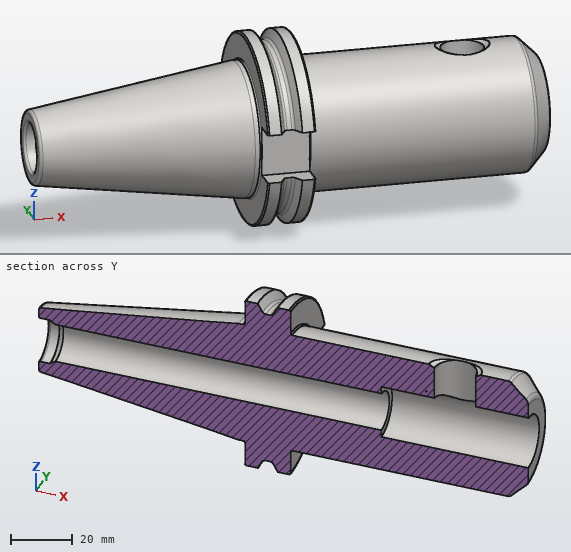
import cadquery as cq
import math

total_length = 169.8
gauge_x = 69.3
flange_start = 71.5
flange_end = 87.5

gauge_diameter = 44.8
shank_diameter = 44.5
flange_diameter = 63.4
groove_floor_diameter = 56.4

taper_ratio = 7 / 24
small_end_diameter = gauge_diameter - gauge_x * taper_ratio
small_end_fillet = 1.2
flange_chamfer = 0.5
neck_fillet = 0.5
shank_fillet = 0.5

groove_centre = 79.5
groove_top_width = 7.0
groove_flank_angle = 30
groove_fillet = 1.2

nose_chamfer = 6.5
nose_outer_fillet = 1.5
nose_inner_fillet = 2.9

slot_width = 16.3
slot_floor_front = 22.8
slot_floor_back = 25.0

through_diameter = 14.0
pilot_diameter = 16.5
pilot_depth = 4.0
lead_in_diameter = 16.1
lead_in_length = 1.9
mouth_fillet = 0.8
tool_bore_diameter = 19.0
tool_bore_depth = 51.0

screw_x = 144.4
screw_diameter = 14.3
countersink_diameter = 18.0
countersink_angle = 120


def make_body():
    """Revolve the taper, flange and shank about the X axis."""
    small_r = small_end_diameter / 2
    gauge_r = gauge_diameter / 2
    shank_r = shank_diameter / 2
    flange_r = flange_diameter / 2
    profile = (
        cq.Workplane("XY")
        .moveTo(0, 0)
        .lineTo(0, small_r)
        .lineTo(gauge_x, gauge_r)
        .lineTo(flange_start - neck_fillet, gauge_r)
        .radiusArc((flange_start, gauge_r + neck_fillet), -neck_fillet)
        .lineTo(flange_start, flange_r - flange_chamfer)
        .lineTo(flange_start + flange_chamfer, flange_r)
        .lineTo(flange_end - flange_chamfer, flange_r)
        .lineTo(flange_end, flange_r - flange_chamfer)
        .lineTo(flange_end, shank_r + shank_fillet)
        .radiusArc((flange_end + shank_fillet, shank_r), -shank_fillet)
        .lineTo(total_length - nose_chamfer, shank_r)
        .lineTo(total_length, shank_r - nose_chamfer)
        .lineTo(total_length, 0)
        .close()
    )
    body = profile.revolve(360, (0, 0, 0), (1, 0, 0))
    body = body.faces("<X").edges().fillet(small_end_fillet)
    body = body.faces(">X").edges().fillet(nose_inner_fillet)
    nose_edge = cq.selectors.BoxSelector(
        (total_length - nose_chamfer - 0.2, -shank_r, -shank_r),
        (total_length - nose_chamfer + 0.2, shank_r, shank_r),
    )
    return body.edges(nose_edge).fillet(nose_outer_fillet)


def make_groove():
    """Ring with the V-groove section and rounded floor corners."""
    floor_r = groove_floor_diameter / 2
    flange_r = flange_diameter / 2
    rim_r = flange_r + 1.7
    half_top = groove_top_width / 2
    flank_slope = math.tan(math.radians(groove_flank_angle))
    half_floor = half_top - (flange_r - floor_r) * flank_slope
    half_rim = half_top + (rim_r - flange_r) * flank_slope
    ring = (
        cq.Workplane("XY")
        .polyline([
            (groove_centre - half_floor, floor_r),
            (groove_centre + half_floor, floor_r),
            (groove_centre + half_rim, rim_r),
            (groove_centre - half_rim, rim_r),
        ])
        .close()
        .revolve(360, (0, 0, 0), (1, 0, 0))
    )
    floor_edges = cq.selectors.RadiusNthSelector(0)
    return ring.edges(floor_edges).fillet(groove_fillet)


def make_slot(floor_distance, side):
    """Drive slot through the flange; side is +1 for +Y and -1 for -Y."""
    length = flange_end - flange_start
    depth = flange_diameter / 2
    return cq.Workplane("XY").box(length, depth, slot_width).translate(
        (flange_start + length / 2, side * (floor_distance + depth / 2), 0)
    )


def make_bores():
    """Through hole with a rounded-mouth pilot bore at the small end, and the tool bore."""
    pilot_r = pilot_diameter / 2
    lead_in_r = lead_in_diameter / 2
    through_r = through_diameter / 2
    stepped_bore = (
        cq.Workplane("XY")
        .moveTo(0, 0)
        .lineTo(0, pilot_r + mouth_fillet)
        .radiusArc((mouth_fillet, pilot_r), -mouth_fillet)
        .lineTo(pilot_depth, pilot_r)
        .lineTo(pilot_depth, lead_in_r)
        .lineTo(pilot_depth + lead_in_length, through_r)
        .lineTo(total_length, through_r)
        .lineTo(total_length, 0)
        .close()
        .revolve(360, (0, 0, 0), (1, 0, 0))
    )
    tool_bore = (
        cq.Workplane("YZ", origin=(total_length - tool_bore_depth, 0, 0))
        .circle(tool_bore_diameter / 2)
        .extrude(tool_bore_depth)
    )
    return stepped_bore.union(tool_bore)


def make_screw_hole():
    """Radial screw hole with a wide conical countersink."""
    hole_r = screw_diameter / 2
    sink_r = countersink_diameter / 2
    top_z = shank_diameter / 2
    sink_depth = (sink_r - hole_r) / math.tan(math.radians(countersink_angle / 2))
    section = (
        cq.Workplane("XZ")
        .polyline([
            (0, 0),
            (hole_r, 0),
            (hole_r, top_z - sink_depth),
            (sink_r, top_z),
            (0, top_z),
        ])
        .close()
    )
    return section.revolve(360, (0, 0, 0), (0, 1, 0)).translate((screw_x, 0, 0))


result = (
    make_body()
    .cut(make_groove())
    .cut(make_slot(slot_floor_front, -1))
    .cut(make_slot(slot_floor_back, 1))
    .cut(make_bores())
    .cut(make_screw_hole())
)